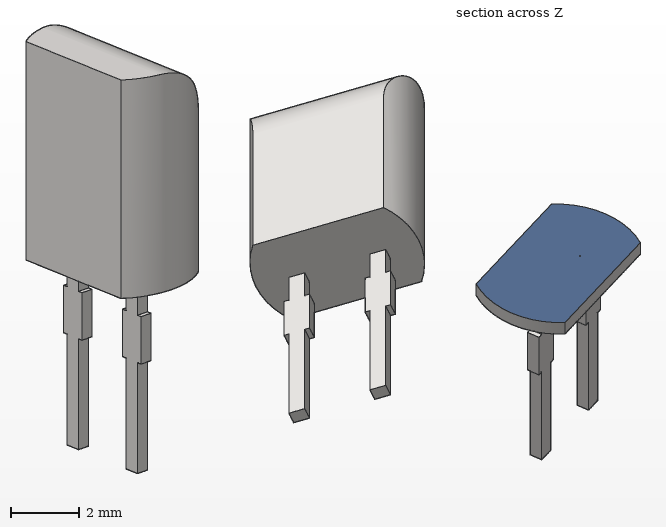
import cadquery as cq

BODY_WIDTH = 5.1
BODY_DEPTH = 3.1
BODY_HEIGHT = 6.9
FLAT_WIDTH = 4.1
TOP_RADIUS = 2.0

LEAD_PITCH = 2.54
LEAD_LENGTH = 6.0
LEAD_WIDTH = 0.5
LEAD_THICKNESS = 0.4
LEAD_FROM_FRONT = 1.35
STOP_WIDTH = 0.8
STOP_HEIGHT = 1.5
STOP_GAP = 1.0

FRONT_Y = -BODY_DEPTH / 2
BACK_Y = BODY_DEPTH / 2
LEAD_Y = FRONT_Y + LEAD_FROM_FRONT


def make_body():
    """Extrude the bulging outline upward and round its top back edge."""
    half_flat = FLAT_WIDTH / 2
    half_width = BODY_WIDTH / 2
    body = (
        cq.Workplane("XY")
        .moveTo(-half_flat, FRONT_Y)
        .lineTo(half_flat, FRONT_Y)
        .threePointArc((half_width, 0), (half_flat, BACK_Y))
        .lineTo(-half_flat, BACK_Y)
        .threePointArc((-half_width, 0), (-half_flat, FRONT_Y))
        .close()
        .extrude(BODY_HEIGHT)
    )
    return body.intersect(make_side_profile())


def make_side_profile():
    """Block as deep and tall as the body, with the rounded top back edge."""
    block = cq.Workplane("XY").box(BODY_WIDTH, BODY_DEPTH, BODY_HEIGHT, centered=(True, True, False))
    return block.edges(">Y and >Z").fillet(TOP_RADIUS)


def make_lead(x):
    """Lead hanging from the body underside at x, with its wider stop."""
    centered = (True, True, False)
    pin = cq.Workplane("XY").box(LEAD_WIDTH, LEAD_THICKNESS, LEAD_LENGTH, centered=centered)
    stop = cq.Workplane("XY").box(STOP_WIDTH, LEAD_THICKNESS, STOP_HEIGHT, centered=centered)
    stop_bottom = LEAD_LENGTH - STOP_GAP - STOP_HEIGHT
    lead = pin.union(stop.translate((0, 0, stop_bottom)))
    return lead.translate((x, LEAD_Y, -LEAD_LENGTH))


result = make_body()
for side in (-1, 1):
    result = result.union(make_lead(side * LEAD_PITCH / 2))